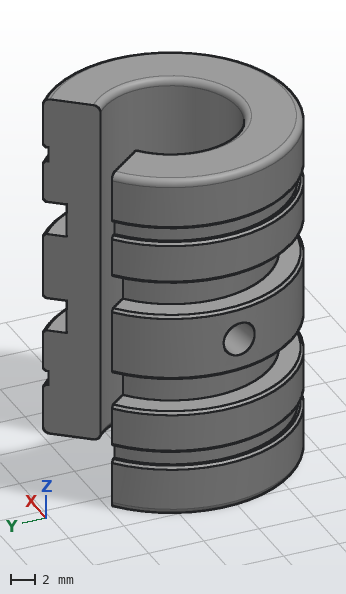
import cadquery as cq
import math

length = 31.87
outer_radius = 11.0
bore_radius = 6.05
end_rounding = 0.6

slot_half_angle = 39.3

narrow_groove_offset = 4.62
narrow_groove_width = 1.3
narrow_groove_radius = 10.52
wide_groove_offset = 9.82
wide_groove_width = 3.05
wide_groove_radius = 8.95
groove_chamfer = 0.25

hole_diameter = 3.0
hole_tilt = 7.0


def make_tube():
    """Plain tube with its axis on Z and rounded rims at both ends."""
    tube = cq.Workplane("XY").circle(outer_radius).circle(bore_radius).extrude(length)
    return tube.faces("<Z or >Z").edges().fillet(end_rounding)


def groove_cutter(offset, width, floor_radius):
    """Ring that cuts a groove and chamfers both of its outer edges."""
    top = offset + width
    shoulder_radius = outer_radius - groove_chamfer
    profile = [
        (floor_radius, offset),
        (shoulder_radius, offset),
        (outer_radius, offset - groove_chamfer),
        (outer_radius + groove_chamfer, offset - groove_chamfer),
        (outer_radius + groove_chamfer, top + groove_chamfer),
        (outer_radius, top + groove_chamfer),
        (shoulder_radius, top),
        (floor_radius, top),
    ]
    return cq.Workplane("XZ").polyline(profile).close().revolve(360, (0, 0), (0, 1))


def slot_cutter():
    """Wedge with its tip on the axis that opens the sleeve toward +Y."""
    reach = 2 * outer_radius
    half_width = reach * math.tan(math.radians(slot_half_angle))
    corners = [(0, 0), (half_width, reach), (-half_width, reach)]
    return cq.Workplane("XY").polyline(corners).close().extrude(length)


def hole_cutter(side):
    """Radial cylinder at mid-length; side is +1 for +X and -1 for -X."""
    tilt = math.radians(hole_tilt)
    direction = cq.Vector(side * math.cos(tilt), -math.sin(tilt), 0)
    start = cq.Vector(0, 0, length / 2)
    return cq.Solid.makeCylinder(hole_diameter / 2, 2 * outer_radius, start, direction)


def make_sleeve():
    """Slotted sleeve with grooves and radial holes."""
    sleeve = make_tube()
    grooves = [
        (narrow_groove_offset, narrow_groove_width, narrow_groove_radius),
        (wide_groove_offset, wide_groove_width, wide_groove_radius),
    ]
    for offset, width, floor_radius in grooves:
        mirrored_offset = length - offset - width
        for groove_start in (offset, mirrored_offset):
            sleeve = sleeve.cut(groove_cutter(groove_start, width, floor_radius))
    sleeve = sleeve.cut(slot_cutter())
    for side in (1, -1):
        sleeve = sleeve.cut(cq.Workplane(hole_cutter(side)))
    return sleeve


sleeve = make_sleeve()
result = cq.Compound.makeCompound([sleeve.val()])